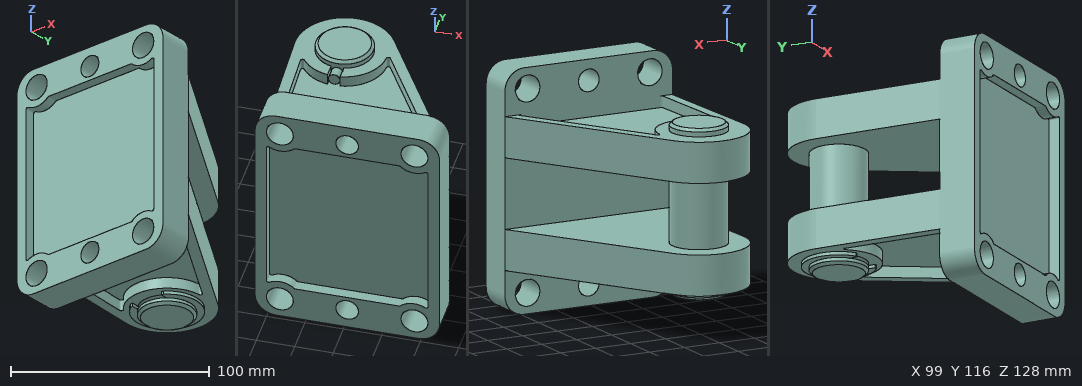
import cadquery as cq
import math

PLATE_WIDTH = 96.0
PLATE_HEIGHT = 128.0
PLATE_THICKNESS = 20.0
PLATE_CORNER_RADIUS = 11.0
HOLE_SPACING_X = 70.0
HOLE_SPACING_Z = 106.0
CORNER_HOLE_DIAMETER = 14.0
MIDDLE_HOLE_DIAMETER = 11.8

RIM_WIDTH = 6.0
POCKET_FILLET = 1.0
RECESS_HEIGHT = 90.1
RECESS_DEPTH = 6.0
HOLE_WALL_RADIUS = 11.0

PIN_X = 23.0
PIN_Y = 90.0
LUG_RADIUS = 26.0
LUG_INNER_Z = 18.5
LUG_OUTER_Z = 40.0
LUG_POCKET_DEPTH = 6.0
BOSS_RADIUS = 22.0
NOSE_SLOT_WIDTH = 6.5

PIN_DIAMETER = 30.0
PIN_TOP_Z = 44.0
PIN_BOTTOM_Z = -45.0
PIN_CHAMFER = 1.5
NOSE_DIAMETER = 6.0
NOSE_REACH = 21.0

CLIP_OUTER_RADIUS = 19.0
CLIP_SEAT_DIAMETER = 19.0
CLIP_THICKNESS = 1.8
CLIP_TIP_REACH = 15.6

MID_X = PLATE_WIDTH / 2
CLIP_BOTTOM_Z = -LUG_OUTER_Z - CLIP_THICKNESS


def disc(radius, bottom_z, height):
    """Upright cylinder on the pin axis."""
    return cq.Workplane("XY", origin=(PIN_X, PIN_Y, bottom_z)).circle(radius).extrude(height)


def plate_cylinders(spots, radius, depth):
    """Cylinders that run from the front face of the plate toward +Y."""
    front = cq.Workplane("XZ", origin=(MID_X, 0, 0))
    return front.pushPoints(spots).circle(radius).extrude(-depth)


def side_normal(foot_x, side):
    """Outward direction of the lug side that runs from a plate corner to a tangent of the lug end.

    side is +1 for the +X side and -1 for the -X side.
    """
    across = foot_x - PIN_X
    along = PLATE_THICKNESS - PIN_Y
    to_foot = math.atan2(along, across)
    angle = to_foot + side * math.acos(LUG_RADIUS / math.hypot(across, along))
    return math.cos(angle), math.sin(angle)


def lug_prism(end_radius, bottom_z, height):
    """Prism with the lug outline; a smaller end radius moves both sides inward by the same amount."""
    tangents = []
    feet = []
    for foot_x, side in ((0, -1), (PLATE_WIDTH, 1)):
        normal_x, normal_y = side_normal(foot_x, side)
        tangents.append((PIN_X + end_radius * normal_x, PIN_Y + end_radius * normal_y))
        drop = PIN_Y - PLATE_THICKNESS
        feet.append((PIN_X + (end_radius + drop * normal_y) / normal_x, PLATE_THICKNESS))
    return (
        cq.Workplane("XY", origin=(0, 0, bottom_z))
        .moveTo(*feet[0])
        .lineTo(*tangents[0])
        .threePointArc((PIN_X, PIN_Y + end_radius), tangents[1])
        .lineTo(*feet[1])
        .close()
        .extrude(height)
    )


def make_plate():
    """Rounded plate with six through holes and a front recess that leaves a wall around the corner holes."""
    plate = (
        cq.Workplane("XY")
        .box(PLATE_WIDTH, PLATE_THICKNESS, PLATE_HEIGHT)
        .edges("|Y")
        .fillet(PLATE_CORNER_RADIUS)
        .translate((MID_X, PLATE_THICKNESS / 2, 0))
    )
    middle_spots = [(0, z * HOLE_SPACING_Z / 2) for z in (-1, 1)]
    corner_spots = [(x * HOLE_SPACING_X / 2, z) for x in (-1, 1) for _, z in middle_spots]
    recess = (
        cq.Workplane("XY")
        .box(PLATE_WIDTH - 2 * RIM_WIDTH, RECESS_DEPTH, RECESS_HEIGHT)
        .translate((MID_X, RECESS_DEPTH / 2, 0))
        .cut(plate_cylinders(corner_spots, HOLE_WALL_RADIUS, RECESS_DEPTH))
        .edges("|Y")
        .fillet(POCKET_FILLET)
    )
    return (
        plate.cut(recess)
        .cut(plate_cylinders(corner_spots, CORNER_HOLE_DIAMETER / 2, PLATE_THICKNESS))
        .cut(plate_cylinders(middle_spots, MIDDLE_HOLE_DIAMETER / 2, PLATE_THICKNESS))
    )


def make_lug():
    """Upper lug: tapered arm with an outer pocket that leaves a rim and a boss around the pin hole."""
    pocket_floor_z = LUG_OUTER_Z - LUG_POCKET_DEPTH
    pocket = (
        lug_prism(LUG_RADIUS - RIM_WIDTH, pocket_floor_z, LUG_POCKET_DEPTH)
        .cut(disc(BOSS_RADIUS, pocket_floor_z, LUG_POCKET_DEPTH))
        .edges("|Z")
        .fillet(POCKET_FILLET)
    )
    lug_thickness = LUG_OUTER_Z - LUG_INNER_Z
    pin_hole = disc(PIN_DIAMETER / 2, LUG_INNER_Z, lug_thickness)
    return lug_prism(LUG_RADIUS, LUG_INNER_Z, lug_thickness).cut(pocket).cut(pin_hole)


def make_nose_slot():
    """Slot through the upper boss on its -Y side, as deep as the lug pocket."""
    return cq.Workplane("XY").box(NOSE_SLOT_WIDTH, BOSS_RADIUS, LUG_POCKET_DEPTH).translate(
        (PIN_X, PIN_Y - BOSS_RADIUS / 2, LUG_OUTER_Z - LUG_POCKET_DEPTH / 2)
    )


def make_bracket():
    """Plate with two mirrored lugs; only the upper lug has the nose slot."""
    lug = make_lug()
    return make_plate().union(lug).union(lug.mirror("XY")).cut(make_nose_slot())


def make_pin():
    """Chamfered pin with the clip groove and the nose resting on the slot floor."""
    shaft = disc(PIN_DIAMETER / 2, PIN_BOTTOM_Z, PIN_TOP_Z - PIN_BOTTOM_Z)
    shaft = shaft.faces("<Z or >Z").chamfer(PIN_CHAMFER)
    groove = disc(PIN_DIAMETER / 2, CLIP_BOTTOM_Z, CLIP_THICKNESS).cut(
        disc(CLIP_SEAT_DIAMETER / 2, CLIP_BOTTOM_Z, CLIP_THICKNESS)
    )
    nose_z = LUG_OUTER_Z - LUG_POCKET_DEPTH + NOSE_DIAMETER / 2
    nose = (
        cq.Workplane("XZ", origin=(PIN_X, PIN_Y, nose_z))
        .circle(NOSE_DIAMETER / 2)
        .extrude(NOSE_REACH)
    )
    return shaft.cut(groove).union(nose)


def make_clip():
    """Horseshoe clip, open toward -Y, with flat tips."""
    mouth = cq.Workplane("XY").box(CLIP_SEAT_DIAMETER, CLIP_OUTER_RADIUS, CLIP_THICKNESS).translate(
        (PIN_X, PIN_Y - CLIP_OUTER_RADIUS / 2, CLIP_BOTTOM_Z + CLIP_THICKNESS / 2)
    )
    trim_length = CLIP_OUTER_RADIUS - CLIP_TIP_REACH
    tip_trim = cq.Workplane("XY").box(2 * CLIP_OUTER_RADIUS, trim_length, CLIP_THICKNESS).translate(
        (PIN_X, PIN_Y - CLIP_TIP_REACH - trim_length / 2, CLIP_BOTTOM_Z + CLIP_THICKNESS / 2)
    )
    return (
        disc(CLIP_OUTER_RADIUS, CLIP_BOTTOM_Z, CLIP_THICKNESS)
        .cut(disc(CLIP_SEAT_DIAMETER / 2, CLIP_BOTTOM_Z, CLIP_THICKNESS))
        .cut(mouth)
        .cut(tip_trim)
    )


bracket = make_bracket()
pin = make_pin()
clip = make_clip()

result = cq.Compound.makeCompound([body.solids().val() for body in (bracket, pin, clip)])